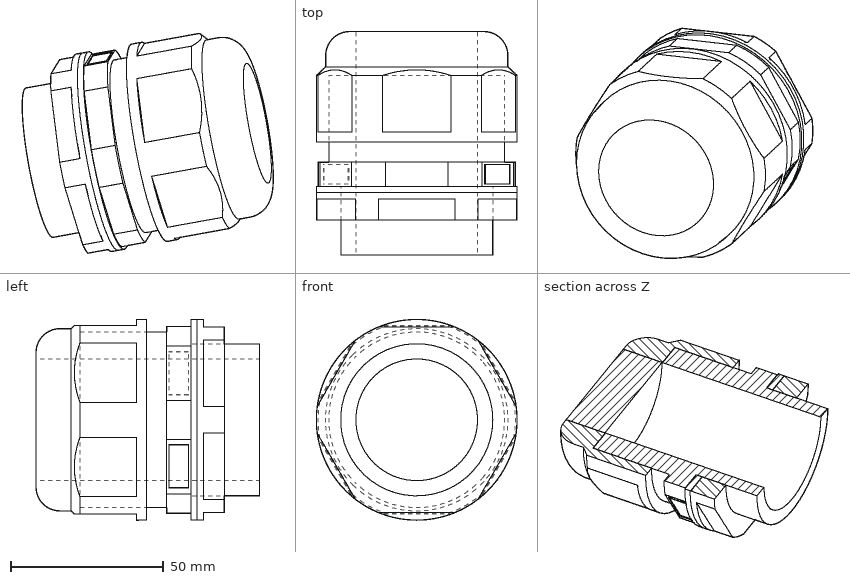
import cadquery as cq
import math


spigot_radius = 25.0
bore_radius = 20.0

locknut_start = 11.55
locknut_flats_length = 6.8
gasket_start = 20.6
gasket_thickness = 2.0
body_hex_start = gasket_start + gasket_thickness
body_hex_end = 30.6
dome_nut_start = 37.1
dome_nut_flats_start = 40.5
chamfer_start = 59.0
chamfer_end = 61.9
overall_length = 73.5

flange_radius = 33.0
locknut_flat_distance = 30.5
body_hex_radius = 32.4
body_hex_flat_distance = 30.7
neck_radius = 28.9
dome_radius = 30.0
dome_nut_flat_distance = 31.0
dome_fillet = 7.95

neck_end = chamfer_start

panel_width = 16.3
panel_height = 6.55
panel_depth = 0.3
panel_angles = (30, 210)


def cylinder(radius, start, end):
    """Solid cylinder on the Y axis between two stations."""
    return cq.Workplane("XZ", origin=(0, start, 0)).circle(radius).extrude(start - end)


def hexagon(flat_distance, start, end):
    """Hexagonal bar on the Y axis with flats facing +Z and -Z."""
    corner_diameter = 2 * flat_distance / math.cos(math.radians(30))
    return cq.Workplane("XZ", origin=(0, start, 0)).polygon(6, corner_diameter).extrude(start - end)


def rounded_hexagon(radius, flat_distance, start, end):
    """Hexagonal bar whose corners are trimmed to a cylinder."""
    return cylinder(radius, start, end).intersect(hexagon(flat_distance, start, end))


def marking_panel(angle):
    """Block that cuts one panel; the angle turns from +X towards +Z."""
    panel_center = (body_hex_start + body_hex_end) / 2
    block = cq.Workplane("XY").box(2 * panel_depth, panel_height, panel_width)
    block = block.translate((body_hex_flat_distance, panel_center, 0))
    return block.rotate((0, 0, 0), (0, 1, 0), -angle)


def make_gland_body():
    spigot = cylinder(spigot_radius, 0, body_hex_start)
    hex_collar = rounded_hexagon(body_hex_radius, body_hex_flat_distance, body_hex_start, body_hex_end)
    for angle in panel_angles:
        hex_collar = hex_collar.cut(marking_panel(angle))
    neck = cylinder(neck_radius, body_hex_end, neck_end)
    bore = cylinder(bore_radius, 0, neck_end)
    return spigot.union(hex_collar).union(neck).cut(bore)


def make_locknut():
    flats_end = locknut_start + locknut_flats_length
    hex_part = rounded_hexagon(flange_radius, locknut_flat_distance, locknut_start, flats_end)
    flange = cylinder(flange_radius, flats_end, gasket_start)
    thread_hole = cylinder(spigot_radius, locknut_start, gasket_start)
    return hex_part.union(flange).cut(thread_hole)


def make_gasket():
    ring = cylinder(flange_radius, gasket_start, body_hex_start)
    return ring.cut(cylinder(spigot_radius, gasket_start, body_hex_start))


def make_dome_nut():
    dome_edge_radius = dome_radius - dome_fillet
    dome_edge_start = overall_length - dome_fillet
    arc_reach = dome_fillet * math.cos(math.radians(45))
    arc_middle = (dome_edge_radius + arc_reach, dome_edge_start + arc_reach)
    turned = (
        cq.Workplane("XY")
        .moveTo(0, dome_nut_start)
        .lineTo(flange_radius, dome_nut_start)
        .lineTo(flange_radius, chamfer_start)
        .lineTo(dome_radius, chamfer_end)
        .lineTo(dome_radius, dome_edge_start)
        .threePointArc(arc_middle, (dome_edge_radius, overall_length))
        .lineTo(0, overall_length)
        .close()
        .revolve(360, (0, 0, 0), (0, 1, 0))
    )
    flats_blank = cylinder(2 * flange_radius, dome_nut_flats_start, chamfer_end)
    flats_cut = flats_blank.cut(hexagon(dome_nut_flat_distance, dome_nut_flats_start, chamfer_end))
    neck_socket = cylinder(neck_radius, dome_nut_start, neck_end)
    cable_opening = cylinder(bore_radius, neck_end, overall_length)
    return turned.cut(flats_cut).cut(neck_socket).cut(cable_opening)


def make_seal_plug():
    """Solid plug that closes the cable opening of the dome nut."""
    return cylinder(bore_radius, neck_end, overall_length)


gland_body = make_gland_body()
locknut = make_locknut()
gasket = make_gasket()
dome_nut = make_dome_nut()
seal_plug = make_seal_plug()

result = cq.Compound.makeCompound(
    [gland_body.val(), locknut.val(), gasket.val(), dome_nut.val(), seal_plug.val()]
)